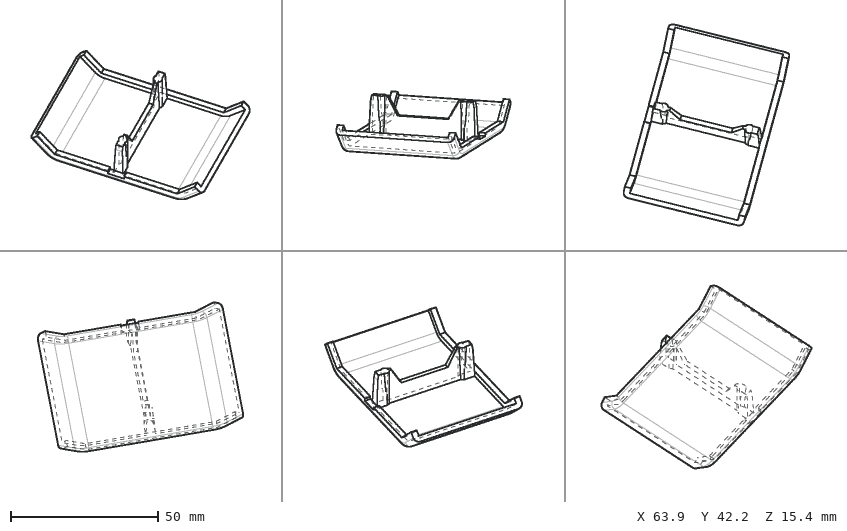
import cadquery as cq
import math

length = 63.9
width = 42.2
total_height = 15.4
bend_angle = 45.0
floor_thickness = 2.0
rim_height = 4.0
rim_width = 2.2
bend_start = 21.4
outer_bend_radius = 6.95
edge_radius = 2.0

notch_width = 6.0
notch_floor = 3.0

draft_angle = 2.0
web_top = 8.75
web_half_width = 0.6
post_half_width = 1.2
barrel_radius = 1.55
barrel_center = 15.0
post_top_inner = 12.8
slope_foot = 9.0
post_top_outer = 18.15
nose_height = 2.0
nose_base = 18.5
post_foot = 19.05

half_length = length / 2
half_inner_width = width / 2 - rim_width
rib_bottom = floor_thickness / 2


def bend_point(depth, angle):
    """Point on the +X bend, at a depth above the underside and an angle from straight down."""
    radius = outer_bend_radius - depth
    turn = math.radians(angle)
    return (bend_start + radius * math.sin(turn), outer_bend_radius - radius * math.cos(turn))


def end_point(depth):
    """Point on the +X end face, at a depth above the underside."""
    turn = math.radians(bend_angle)
    x, z = bend_point(0, bend_angle)
    run = half_length - x
    return (half_length - depth * math.sin(turn), z + run * math.tan(turn) + depth * math.cos(turn))


def mirrored(point):
    return (-point[0], point[1])


def trace_bent_line(sketch, depth):
    """Draw from the -X end to the +X end, following the rounded bends."""
    bend = [bend_point(depth, angle) for angle in (bend_angle, bend_angle / 2, 0)]
    left = [mirrored(point) for point in bend]
    return (
        sketch.moveTo(*mirrored(end_point(depth)))
        .lineTo(*left[0])
        .threePointArc(left[1], left[2])
        .lineTo(*bend[2])
        .threePointArc(bend[1], bend[0])
        .lineTo(*end_point(depth))
    )


def make_tray():
    rim_end = end_point(rim_height)
    rim_corner = (rim_end[0] - (rim_end[1] - rim_height) / math.tan(math.radians(bend_angle)), rim_height)
    body = (
        trace_bent_line(cq.Workplane("XZ"), 0)
        .lineTo(*rim_end)
        .lineTo(*rim_corner)
        .lineTo(*mirrored(rim_corner))
        .lineTo(*mirrored(rim_end))
        .close()
        .extrude(width / 2, both=True)
    )
    body = body.faces("<Y or >Y").edges("<Z").fillet(edge_radius)

    recess = (
        trace_bent_line(cq.Workplane("XZ"), floor_thickness)
        .lineTo(half_length, total_height)
        .lineTo(-half_length, total_height)
        .close()
        .extrude(half_inner_width, both=True)
    )
    notch = cq.Workplane("XY").box(notch_width, rim_width, total_height, centered=(True, False, False))
    return body.cut(recess).cut(notch.translate((0, -width / 2, notch_floor)))


def drafted_bar(half_width_top, y_start, y_end):
    """Bar along Y whose two sides lean inwards towards the top."""
    spread = (total_height - rib_bottom) * math.tan(math.radians(draft_angle))
    half_width_bottom = half_width_top + spread
    return (
        cq.Workplane("XZ", origin=(0, y_start, 0))
        .moveTo(-half_width_bottom, rib_bottom)
        .lineTo(half_width_bottom, rib_bottom)
        .lineTo(half_width_top, total_height)
        .lineTo(-half_width_top, total_height)
        .close()
        .extrude(y_start - y_end)
    )


def make_rib():
    stock = drafted_bar(web_half_width, -barrel_center, barrel_center)
    post = drafted_bar(post_half_width, barrel_center, post_foot).union(
        cq.Workplane("XY", origin=(0, barrel_center, rib_bottom))
        .circle(barrel_radius)
        .extrude(total_height - rib_bottom)
    )
    stock = stock.union(post).union(post.mirror("XZ"))

    post_side = [
        (post_foot, rib_bottom),
        (post_foot, floor_thickness),
        (nose_base, total_height - nose_height),
        (post_top_outer, total_height),
        (post_top_inner, total_height),
        (slope_foot, web_top),
    ]
    opposite_side = [mirrored(point) for point in reversed(post_side)]
    silhouette = (
        cq.Workplane("YZ")
        .polyline(post_side + opposite_side)
        .close()
        .extrude(2 * barrel_radius, both=True)
    )
    return stock.intersect(silhouette)


result = make_tray().union(make_rib())